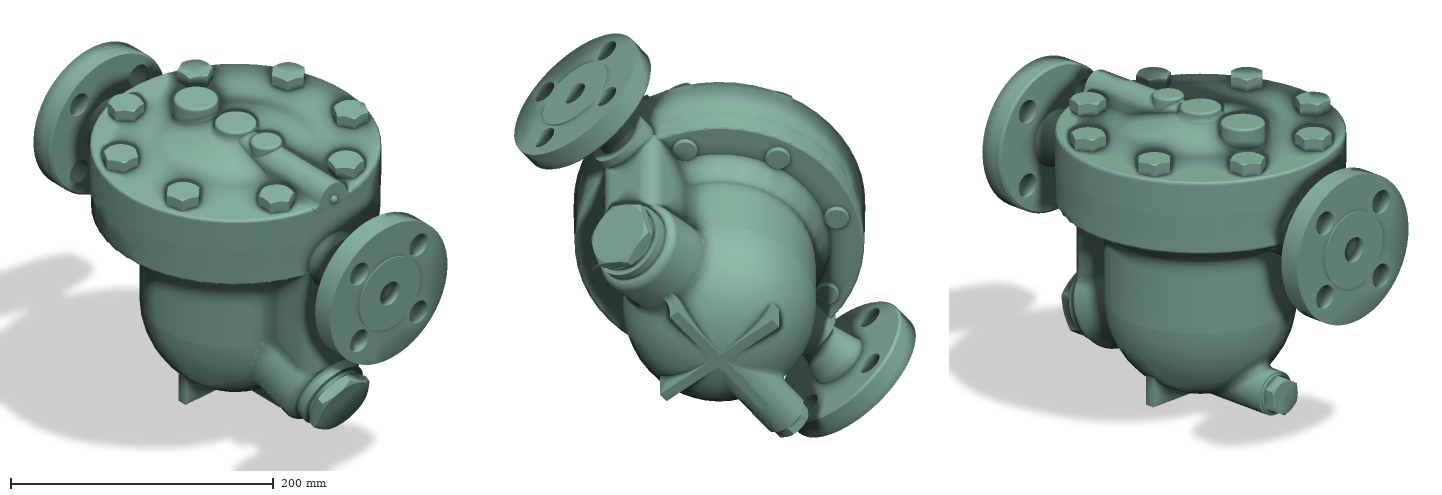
import cadquery as cq
import math


body_radius = 73.5
neck_bottom_z = 132.3
neck_top_radius = 84.3

cover_radius = 111.0
body_flange_bottom_radius = 110.0
body_flange_bottom_z = 153.5
parting_z = 185.5
cover_top_z = 213.0
rim_fillet = 2.5

dome_outer_radius = 65.0
dome_blend_radius = 52.7
dome_blend_z = 214.5
dome_top_z = 224.57
overall_height = 231.2
boss_edge_fillet = 2.0
centre_boss_diameter = 32.0
centre_boss_fillet = 3.7
side_boss_diameter = 34.0
side_boss_fillet = 2.0
side_boss_x = -45.2
small_boss_diameter = 24.0
small_boss_x = 34.7
duct_radius = 13.5
duct_axis_z = 215.0
duct_flare_radius = 5.8
nub_radius = 3.5
nub_z = 214.2

bolt_count = 8
bolt_circle_radius = 92.8
bolt_first_angle = 22.5
bolt_head_flats = 24.0
bolt_head_height = 10.2
bolt_end_diameter = 19.0
bolt_end_length = 3.5
bolt_end_chamfer = 1.0

pipe_axis_z = 159.8
pipe_end_left_x = -164.5
pipe_end_right_x = 175.5
hub_diameter = 47.0
pipe_diameter = 32.0
pipe_flange_diameter = 120.0
pipe_flange_thickness = 20.0
pipe_flange_chamfer = 1.7
raised_face_diameter = 62.0
raised_face_height = 1.0
taper_diameter = 43.0
taper_root_diameter = 46.0
taper_root_length = 3.0
taper_end_diameter = 34.0
taper_length = 17.0
taper_blend_length = 7.5
pipe_length = 5.0
bore_diameter = 20.0
bore_depth = 6.8
flange_hole_diameter = 19.0
flange_hole_circle_radius = 43.0
flange_hole_count = 4

passage_half_width = 26.5
passage_end_x = 114.2
passage_corner_radius = 13.0
passage_fillet = 10.2
passage_top_z = body_flange_bottom_z + 3.5
passage_end_drop = 9.5
passage_foot_x = 91.8

strainer_tilt = 20
strainer_axis_z = body_radius + 3.6
strainer_radius = 35.7
strainer_length = 109.5
strainer_edge_fillet = 6.5
strainer_root_fillet = 10.2
collar_diameter = 58.0
collar_end = 118.0
plug_neck_diameter = 49.5
plug_neck_end = 120.7
plug_flats = 48.3
plug_end = 130.5

drain_diameter = 35.0
drain_face_x = -80.2
drain_fillet = 5.0
drain_blend_start_z = 1.0
drain_washer_diameter = 32.0
drain_washer_thickness = 1.7
drain_plug_flats = 26.5
drain_plug_end_x = -91.0

foot_half_length = 55.0
foot_thickness = 8.0
foot_height = 23.8
foot_fillet = 6.8


def cylinder_x(diameter, x_start, x_end, z):
    return cq.Workplane("YZ", origin=(x_start, 0, z)).circle(diameter / 2).extrude(x_end - x_start)


def hex_head(flats, height, turned_both_ends):
    """Hexagon standing on Z = 0 with a corner on local X, its corners turned off at one or both ends."""
    corners = flats / math.cos(math.radians(30))
    drop = (corners - flats) / 2 * math.tan(math.radians(30))
    base_radius = flats / 2 if turned_both_ends else corners / 2
    prism = cq.Workplane("XY").polygon(6, corners).extrude(height)
    envelope = (
        cq.Workplane("XZ")
        .lineTo(base_radius, 0)
        .lineTo(corners / 2, drop)
        .lineTo(corners / 2, height - drop)
        .lineTo(flats / 2, height)
        .lineTo(0, height)
        .close()
        .revolve(360, (0, 0), (0, 1))
    )
    return prism.intersect(envelope)


def centred_at_height(z):
    """Selector for what is centred on the vessel axis at height z."""
    return cq.selectors.BoxSelector((-0.5, -0.5, z - 0.05), (0.5, 0.5, z + 0.05))


def along_strainer(shape):
    """Turn a shape built along Z so that it lies along the strainer axis."""
    return shape.rotate((0, 0, 0), (0, 1, 0), 90 + strainer_tilt).translate((0, 0, strainer_axis_z))


def make_body():
    arc_mid = body_radius / math.sqrt(2)
    return (
        cq.Workplane("XZ")
        .moveTo(0, 0)
        .threePointArc((arc_mid, body_radius - arc_mid), (body_radius, body_radius))
        .lineTo(body_radius, neck_bottom_z)
        .lineTo(neck_top_radius, body_flange_bottom_z)
        .lineTo(0, body_flange_bottom_z)
        .close()
        .revolve(360, (0, 0), (0, 1))
    )


def make_passage():
    """Upright rib with rounded outer corners, its foot ending inside the strainer boss."""
    blank = (
        cq.Workplane("XY")
        .rect(2 * passage_end_x, 2 * passage_half_width)
        .extrude(passage_top_z)
        .edges("|Z and >X")
        .fillet(passage_corner_radius)
    )
    foot_z = strainer_axis_z - passage_foot_x * math.tan(math.radians(strainer_tilt))
    keep = (
        cq.Workplane("XZ")
        .moveTo(0, strainer_axis_z)
        .lineTo(0, passage_top_z)
        .lineTo(passage_end_x, passage_top_z)
        .lineTo(passage_end_x, strainer_axis_z - passage_end_drop)
        .lineTo(passage_foot_x, foot_z)
        .close()
        .extrude(passage_half_width, both=True)
    )
    return blank.intersect(keep)


def make_strainer_boss():
    boss = (
        cq.Workplane("XY")
        .circle(strainer_radius)
        .extrude(strainer_length)
        .faces(">Z")
        .edges()
        .fillet(strainer_edge_fillet)
    )
    return along_strainer(boss)


def make_strainer_plug():
    collar = cq.Workplane("XY").circle(collar_diameter / 2).extrude(collar_end)
    neck = cq.Workplane("XY").circle(plug_neck_diameter / 2).extrude(plug_neck_end)
    head = hex_head(plug_flats, plug_end - plug_neck_end, True).translate((0, 0, plug_neck_end))
    return along_strainer(collar.union(neck).union(head))


def add_drain(vessel):
    """Drain boss, blended into the hemisphere except at the bottom, where the two surfaces are tangent."""
    plain = vessel.union(cylinder_x(drain_diameter, drain_face_x, 0, drain_diameter / 2))
    above_tangency = (
        cq.Workplane("XY", origin=(0, 0, drain_blend_start_z))
        .rect(2 * cover_radius, 2 * cover_radius)
        .extrude(body_radius - drain_blend_start_z - 3.5)
    )
    root = cq.selectors.BoxSelector((-body_radius, -drain_diameter, 1.7), (-3.5, drain_diameter, 40.8))
    blended = plain.intersect(above_tangency).edges(root).edges("%BSPLINE").fillet(drain_fillet)
    return plain.union(blended)


def make_vessel():
    """Body with the strainer boss, the outlet passage and the drain boss blended into it."""
    strainer_root = cq.selectors.BoxSelector((17, -40.8, 0), (74.8, 40.8, 81.5))
    vessel = add_drain(make_body()).union(make_strainer_boss())
    vessel = vessel.edges(strainer_root).fillet(strainer_root_fillet)
    vessel = vessel.union(make_passage())
    passage_root = cq.selectors.BoxSelector((61.2, -34, 51), (102.5, 34, 146.2))
    return vessel.edges(passage_root).fillet(passage_fillet)


def make_drain_plug():
    washer_end_x = drain_face_x - drain_washer_thickness
    washer = cylinder_x(drain_washer_diameter, washer_end_x, drain_face_x, drain_diameter / 2)
    head = (
        hex_head(drain_plug_flats, washer_end_x - drain_plug_end_x, True)
        .rotate((0, 0, 0), (0, 1, 0), -90)
        .translate((washer_end_x, 0, drain_diameter / 2))
    )
    return washer.union(head)


def make_feet():
    """Two crossed ribs; the +X end of one sweeps up tangent to the underside of the strainer boss."""
    tilt = math.radians(strainer_tilt)
    arc_x = foot_half_length + foot_fillet
    underside_z = strainer_axis_z - strainer_radius / math.cos(tilt) - arc_x * math.tan(tilt)
    arc_z = underside_z - foot_fillet / math.cos(tilt)
    mid_angle = (math.pi + math.pi / 2 - tilt) / 2
    long_rib = (
        cq.Workplane("XZ")
        .moveTo(-foot_half_length, 0)
        .lineTo(foot_half_length, 0)
        .lineTo(foot_half_length, arc_z)
        .threePointArc(
            (arc_x + foot_fillet * math.cos(mid_angle), arc_z + foot_fillet * math.sin(mid_angle)),
            (arc_x + foot_fillet * math.sin(tilt), arc_z + foot_fillet * math.cos(tilt)),
        )
        .lineTo(foot_half_length, foot_height)
        .lineTo(-foot_half_length, foot_height)
        .close()
        .extrude(foot_thickness / 2, both=True)
    )
    cross_rib = cq.Workplane("XY").rect(foot_thickness, 2 * foot_half_length).extrude(foot_height)
    return long_rib.union(cross_rib)


def make_body_flange():
    return (
        cq.Workplane("XZ")
        .moveTo(0, body_flange_bottom_z)
        .lineTo(body_flange_bottom_radius, body_flange_bottom_z)
        .lineTo(cover_radius, parting_z)
        .lineTo(0, parting_z)
        .close()
        .revolve(360, (0, 0), (0, 1))
        .faces("<Z")
        .edges()
        .fillet(rim_fillet)
    )


def make_cover_disc():
    """Cover disc rising in a shallow cone, blended at its foot, to the centre boss."""
    boss_radius = centre_boss_diameter / 2
    disc = (
        cq.Workplane("XZ")
        .moveTo(0, parting_z)
        .lineTo(cover_radius, parting_z)
        .lineTo(cover_radius, cover_top_z)
        .lineTo(dome_outer_radius, cover_top_z)
        .tangentArcPoint((dome_blend_radius, dome_blend_z), relative=False)
        .lineTo(boss_radius, dome_top_z)
        .lineTo(boss_radius, overall_height)
        .lineTo(0, overall_height)
        .close()
        .revolve(360, (0, 0), (0, 1))
    )
    disc = disc.edges(centred_at_height(dome_top_z)).fillet(centre_boss_fillet)
    disc = disc.edges(centred_at_height(overall_height)).fillet(boss_edge_fillet)
    outer_rim = cq.selectors.RadiusNthSelector(-1)
    return disc.faces(centred_at_height(cover_top_z)).edges(outer_rim).fillet(rim_fillet)


def make_cover_boss(diameter, x):
    return (
        cq.Workplane("XY", origin=(x, 0, parting_z))
        .circle(diameter / 2)
        .extrude(overall_height - parting_z)
        .faces(">Z")
        .edges()
        .fillet(boss_edge_fillet)
    )


def make_duct():
    """Round-topped ridge on the cover with concave flared feet, running from the centre out to the rim."""
    base_z = cover_top_z - rim_fillet
    flare_centre_z = cover_top_z + duct_flare_radius
    flare_rise = flare_centre_z - duct_axis_z
    centre_distance = duct_radius + duct_flare_radius
    foot_y = math.sqrt(centre_distance**2 - flare_rise**2)
    joint_y = foot_y * duct_radius / centre_distance
    joint_z = duct_axis_z + flare_rise * duct_radius / centre_distance
    mid_angle = (math.pi / 2 + math.atan2(flare_rise, foot_y)) / 2
    mid_y = foot_y - duct_flare_radius * math.cos(mid_angle)
    mid_z = flare_centre_z - duct_flare_radius * math.sin(mid_angle)
    return (
        cq.Workplane("YZ")
        .moveTo(-foot_y, base_z)
        .lineTo(-foot_y, cover_top_z)
        .threePointArc((-mid_y, mid_z), (-joint_y, joint_z))
        .threePointArc((0, duct_axis_z + duct_radius), (joint_y, joint_z))
        .threePointArc((mid_y, mid_z), (foot_y, cover_top_z))
        .lineTo(foot_y, base_z)
        .close()
        .extrude(cover_radius)
    )


def make_bolts():
    head = hex_head(bolt_head_flats, bolt_head_height, False).translate((0, 0, cover_top_z))
    end = (
        cq.Workplane("XY", origin=(0, 0, body_flange_bottom_z))
        .circle(bolt_end_diameter / 2)
        .extrude(-bolt_end_length)
        .faces("<Z")
        .edges()
        .chamfer(bolt_end_chamfer)
    )
    bolt = head.union(end).rotate((0, 0, 0), (0, 0, 1), bolt_first_angle)
    bolt = bolt.translate((bolt_circle_radius, 0, 0))
    bolts = cq.Workplane("XY")
    for i in range(bolt_count):
        bolts = bolts.add(bolt.rotate((0, 0, 0), (0, 0, 1), bolt_first_angle + i * 360 / bolt_count))
    return bolts


def make_pipe():
    """Weld-neck flange and pipe stub; the flange face is at local Z = 0 and the pipe runs up +Z."""
    back = pipe_flange_thickness
    taper_start = back + taper_root_length
    taper_end = taper_start + taper_length
    blend_end = taper_end + taper_blend_length
    pipe_end = blend_end + pipe_length
    profile = (
        cq.Workplane("XZ")
        .lineTo(raised_face_diameter / 2, 0)
        .lineTo(raised_face_diameter / 2, raised_face_height)
        .lineTo(pipe_flange_diameter / 2, raised_face_height)
        .lineTo(pipe_flange_diameter / 2, back - pipe_flange_chamfer)
        .lineTo(pipe_flange_diameter / 2 - pipe_flange_chamfer, back)
        .lineTo(taper_root_diameter / 2, back)
        .lineTo(taper_diameter / 2, taper_start)
        .lineTo(taper_end_diameter / 2, taper_end)
        .tangentArcPoint((pipe_diameter / 2, blend_end), relative=False)
        .lineTo(pipe_diameter / 2, pipe_end)
        .lineTo(0, pipe_end)
        .close()
    )
    holes = (
        cq.Workplane("XY")
        .polarArray(flange_hole_circle_radius, 45, 360, flange_hole_count)
        .circle(flange_hole_diameter / 2)
        .extrude(back)
    )
    bore = cq.Workplane("XY").circle(bore_diameter / 2).extrude(bore_depth)
    return profile.revolve(360, (0, 0), (0, 1)).cut(holes).cut(bore)


stub_length = pipe_flange_thickness + taper_root_length + taper_length + taper_blend_length + pipe_length
hub_left_x = pipe_end_left_x + stub_length
hub_right_x = pipe_end_right_x - stub_length
hub = cylinder_x(hub_diameter, hub_left_x, hub_right_x, pipe_axis_z)
pipe = make_pipe()
inlet = pipe.rotate((0, 0, 0), (0, 1, 0), 90).translate((pipe_end_left_x, 0, pipe_axis_z))
outlet = pipe.rotate((0, 0, 0), (0, 1, 0), -90).translate((pipe_end_right_x, 0, pipe_axis_z))

side_boss_root = cq.selectors.BoxSelector((-64.5, -20.5, 213.2), (-27.2, 20.5, 224.5))
cover = (
    make_cover_disc()
    .union(make_cover_boss(side_boss_diameter, side_boss_x))
    .edges(side_boss_root)
    .fillet(side_boss_fillet)
    .union(make_duct())
    .union(make_cover_boss(small_boss_diameter, small_boss_x))
)
nub = cq.Workplane("XY").sphere(nub_radius).translate((cover_radius, 0, nub_z))

result = make_vessel().union(make_feet()).union(make_drain_plug()).union(make_strainer_plug())
result = (
    result.union(make_body_flange())
    .union(hub)
    .union(inlet)
    .union(outlet)
    .union(cover)
    .union(nub)
)
for bolt in make_bolts().vals():
    result = result.union(cq.Workplane(bolt))